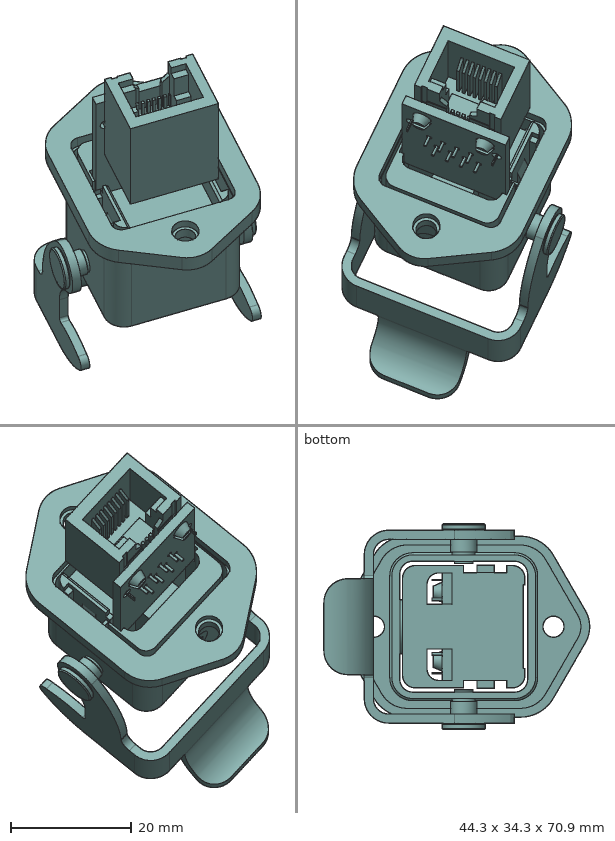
import cadquery as cq
import math


flange_half_width = 15.1
flange_tip = 21.8
flange_side_angle = 60
flange_tip_radius = 5.3
flange_corner_radius = 6.4
flange_thickness = 3.05
pad_inset = 1.5
pad_height = 0.4
shell_half = 12.0
shell_corner = 3.55
shell_bottom = -23.4
shell_root_chamfer = 0.35
shell_root_height = 0.4
opening_width = 21.95
opening_corner = 1.8
opening_depth = 2.1
cavity_length = 21.25
cavity_width = 21.75
cavity_corner = 2.1
mount_x = 14.95
mount_diameter = 3.5
mount_counterbore = 4.5
mount_counterbore_depth = 1.5

pivot_z = -18.1
head_diameter = 7.2
head_height = 1.05
head_chamfer = 0.2
pin_diameter = 4.4
pin_neck_diameter = 3.8
pin_neck_length = 0.5
pin_tip_diameter = 3.1
pin_tip_y = 10.5
sheet = 1.55
lever_half = 16.1
lever_back = -16.6
lever_corner = 4.1
lever_base_top = -30.7
lever_base_bottom = -39.0
eye_radius = 4.5
arm_left = -9.5
arm_left_radius = 19.1
arm_right = -1.55
arm_right_radius = 6.15
arm_root_radius = 1.85
hook_root_radius = 0.6
hook_root_z = -32.85
hook_crest = (2.55, -32.5)
hook_shoulder = (6.95, -33.1)
hook_nose = (8.4, -34.55)
hook_chin = (7.85, -35.6)
hook_belly = (5.3, -37.3)
tab_end = -23.3
tab_bottom = -47.45
tab_half = 8.0
tab_corner = 4.05
tab_root_fillet = 0.5

insert_half = 10.2
insert_corner = 2.1
insert_top = -0.7
insert_bottom = -23.6
bay_floor = -4.95
bay_start = -1.5
bay_half = 8.0
rail_top_y = 8.4
rail_chamfer = 0.4
side_recess_y = 9.0
side_recess_start = 0.0
side_recess_end = 7.15
post_start = -0.9
post_top = -2.4
post_outer_top = -3.55
corner_step_end = 8.2
corner_step_top = -2.1
snap_start = 2.2
snap_end = 5.1
snap_reach = 1.3
snap_top = -4.95
snap_height = 4.25
end_window_start = 9.9
end_window_half = 6.95
pocket_start = -6.1
pocket_half = 8.9
pocket_corner = 1.9
bridge_half = 3.75
slot_clearance = 0.35
boss_diameter = 9.05
screw_z = -12.7
screw_diameter = 6.0
cross_width = 1.05
cross_length = 3.7
cross_floor_length = 1.1
cross_depth = 1.4

board_back = -3.6
board_front = -2.0
board_half = 9.4
board_top = 17.8
peg_y = 5.75
peg_z = 15.1
peg_diameter = 3.5
peg_tip_diameter = 2.3
peg_height = 1.5
peg_slot = 1.0
tab_hole_y = 7.8
tab_hole_z = 12.05
tab_hole_diameter = 1.7
solder_tab_thickness = 0.2
solder_tab_height = 0.9
solder_end = -5.3
solder_pitch = 2.55
solder_first_y = 4.5
solder_row_count = 4
solder_upper_z = 8.8
solder_lower_z = 6.2
solder_pin_diameter = 0.5
solder_hole_diameter = 0.9

jack_end = 9.9
jack_half = 7.85
jack_top = 23.4
jack_bottom = 4.6
plug_start = -0.35
plug_end = 7.7
plug_half = 6.0
plug_depth = 14.15
shoulder_start = 0.9
shoulder_end = 2.05
upper_shoulder_depth = 1.4
lower_shoulder_depth = 5.7
latch_half = 3.4
latch_end = 3.3
latch_depth = 9.9
latch_taper_start = 2.7
latch_taper_end = 3.8
latch_narrow_half = 2.05
panel_half = 5.7
panel_depth = 4.6
panel_recess = 0.15
face_step_half = 6.65
face_step_depth = 6.0
face_step_recess = 0.35
contact_count = 8
contact_pitch = 1.0
contact_width = 0.5
contact_reach = 1.8
contact_top_depth = 4.6
contact_tail_start = -1.05
contact_tail_end = -0.6
contact_tail_depth = 7.1


def box(x_range, y_range, z_range):
    """Box between the given limits along X, Y and Z."""
    return cq.Workplane("XY").box(
        x_range[1] - x_range[0], y_range[1] - y_range[0], z_range[1] - z_range[0], centered=False
    ).translate((x_range[0], y_range[0], z_range[0]))


def rounded_block(length, width, corner, top, bottom):
    """Upright block on the Z axis with rounded vertical edges."""
    block = box((-length / 2, length / 2), (-width / 2, width / 2), (bottom, top))
    return block.edges("|Z").fillet(corner)


def cylinder_x(diameter, start, end, y, z):
    """Cylinder along X."""
    return cq.Workplane("YZ", origin=(start, 0, 0)).center(y, z).circle(diameter / 2).extrude(end - start)


def hexagon_plate(inset, top, bottom):
    """Flange outline moved in by the inset, from top down to bottom."""
    slope = math.radians(flange_side_angle)
    half_width = flange_half_width - inset
    tip = flange_tip - inset / math.sin(slope)
    shoulder = tip - half_width / math.tan(slope)
    outline = [
        (tip, 0), (shoulder, half_width), (-shoulder, half_width),
        (-tip, 0), (-shoulder, -half_width), (shoulder, -half_width),
    ]
    plate = cq.Workplane("XY", origin=(0, 0, bottom)).polyline(outline).close().extrude(top - bottom)
    tips = plate.edges("|Z").edges("<X or >X").fillet(flange_tip_radius - inset)
    return tips.edges("|Z").edges(">Y or <Y").fillet(flange_corner_radius - inset)


def make_shell():
    """Flanged housing with its stepped through opening and mounting holes."""
    pad_bottom = -flange_thickness - pad_height
    shell = hexagon_plate(0, 0, -flange_thickness)
    shell = shell.union(hexagon_plate(pad_inset, -flange_thickness, pad_bottom))
    walls = rounded_block(2 * shell_half, 2 * shell_half, shell_corner, pad_bottom, shell_bottom)
    skirt = rounded_block(
        2 * (shell_half + shell_root_chamfer), 2 * (shell_half + shell_root_chamfer),
        shell_corner + shell_root_chamfer, pad_bottom, pad_bottom - shell_root_height,
    )
    skirt = skirt.faces("<Z").edges().chamfer(shell_root_chamfer)
    shell = shell.union(walls).union(skirt)
    shell = shell.cut(rounded_block(opening_width, opening_width, opening_corner, 0, -opening_depth))
    shell = shell.cut(rounded_block(cavity_length, cavity_width, cavity_corner, -opening_depth, shell_bottom))
    shell = shell.cut(cylinder_x(screw_diameter, -shell_half, -cavity_length / 2, 0, screw_z))
    return (
        shell.faces(">Z").workplane(origin=(0, 0, 0)).pushPoints([(-mount_x, 0), (mount_x, 0)])
        .cboreHole(mount_diameter, mount_counterbore, mount_counterbore_depth)
    )


def make_pivot_pin():
    """Headed pin on the +Y side, from its tip inside the cavity out to its head."""
    neck_end = shell_half + pin_neck_length

    def step(diameter, start, end):
        return cq.Workplane("XZ", origin=(0, start, pivot_z)).circle(diameter / 2).extrude(start - end)

    head = step(head_diameter, lever_half, lever_half + head_height)
    head = head.faces("<Y or >Y").edges().chamfer(head_chamfer)
    pin = step(pin_tip_diameter, pin_tip_y, shell_half)
    pin = pin.union(step(pin_neck_diameter, shell_half, neck_end))
    return pin.union(step(pin_diameter, neck_end, lever_half)).union(head)


def lever_side_profile():
    """Outline of the lever cheek: base strip, pivot arm and hook, as arcs tangent to the pivot eye."""
    left_x = arm_left + arm_left_radius
    left_z = pivot_z - math.sqrt((arm_left_radius - eye_radius) ** 2 - left_x ** 2)
    right_x = arm_right + arm_right_radius
    right_z = pivot_z - math.sqrt((arm_right_radius + eye_radius) ** 2 - right_x ** 2)

    def on_circle(x, z, radius, angle):
        return (x + radius * math.cos(angle), z + radius * math.sin(angle))

    left_angle = math.atan2(pivot_z - left_z, -left_x)
    right_angle = math.atan2(pivot_z - right_z, -right_x)
    left_tangent = on_circle(0, pivot_z, eye_radius, left_angle)
    right_tangent = on_circle(0, pivot_z, eye_radius, right_angle - math.pi)
    return (
        cq.Workplane("XZ", origin=(0, lever_half, 0))
        .moveTo(lever_back, lever_base_bottom)
        .lineTo(lever_back, lever_base_top)
        .lineTo(arm_left - arm_root_radius, lever_base_top)
        .radiusArc((arm_left, lever_base_top + arm_root_radius), -arm_root_radius)
        .lineTo(arm_left, left_z)
        .threePointArc(on_circle(left_x, left_z, arm_left_radius, (math.pi + left_angle) / 2), left_tangent)
        .threePointArc((eye_radius, pivot_z), right_tangent)
        .threePointArc(
            on_circle(right_x, right_z, arm_right_radius, (math.pi + right_angle) / 2), (arm_right, right_z)
        )
        .lineTo(arm_right, hook_root_z + hook_root_radius)
        .radiusArc((arm_right + hook_root_radius, hook_root_z), -hook_root_radius)
        .threePointArc(hook_crest, hook_shoulder)
        .threePointArc(hook_nose, hook_chin)
        .threePointArc(hook_belly, (arm_right, lever_base_bottom))
        .close()
    )


def make_lever():
    """Bent sheet lever: U-shaped strip with two cheeks and a curved finger tab."""
    cheeks = lever_side_profile().extrude(2 * lever_half)
    reach = 2 * lever_half
    band = box((lever_back, reach), (-lever_half, lever_half), (lever_base_bottom, 0))
    band = band.edges("|Z and <X").fillet(lever_corner)
    inner_half = lever_half - sheet
    inside = box((lever_back + sheet, reach), (-inner_half, inner_half), (lever_base_bottom, 0))
    inside = inside.edges("|Z and <X").fillet(lever_corner - sheet)
    strip = cheeks.intersect(band.cut(inside))

    bend_outer = lever_back + sheet - tab_end
    bend_inner = bend_outer - sheet
    bend_z = tab_bottom + bend_outer

    def bend_middle(radius):
        return (tab_end + radius * math.sqrt(0.5), bend_z - radius * math.sqrt(0.5))

    curl = (
        cq.Workplane("XZ", origin=(0, tab_half, 0))
        .moveTo(lever_back, lever_base_bottom)
        .lineTo(lever_back + sheet, lever_base_bottom)
        .lineTo(lever_back + sheet, bend_z)
        .threePointArc(bend_middle(bend_outer), (tab_end, tab_bottom))
        .lineTo(tab_end, tab_bottom + sheet)
        .threePointArc(bend_middle(bend_inner), (lever_back, bend_z))
        .close()
        .extrude(2 * tab_half)
    )
    plan = box((tab_end, lever_back + sheet), (-tab_half, tab_half), (tab_bottom, lever_base_bottom))
    lever = strip.union(curl.intersect(plan.edges("|Z and <X").fillet(tab_corner)))
    root_end = lever_back + sheet
    root_bottom = lever_base_bottom - tab_root_fillet
    for side in (1, -1):
        web_y = sorted((side * tab_half, side * (tab_half + tab_root_fillet)))
        web = box((lever_back, root_end), web_y, (root_bottom, lever_base_bottom))
        hollow = cylinder_x(
            2 * tab_root_fillet, lever_back, root_end, side * (tab_half + tab_root_fillet), root_bottom
        )
        lever = lever.union(web.cut(hollow))
    return lever


def make_insert_block():
    """Contact insert standing in the housing, with board pocket, jack bay and snap ramps."""
    block = rounded_block(2 * insert_half, 2 * insert_half, insert_corner, insert_top, insert_bottom)
    height = (insert_bottom, insert_top)

    bay = (
        cq.Workplane("YZ", origin=(bay_start, 0, 0))
        .polyline([
            (-bay_half, bay_floor), (bay_half, bay_floor), (bay_half, insert_top - rail_chamfer),
            (rail_top_y, insert_top), (-rail_top_y, insert_top), (-bay_half, insert_top - rail_chamfer),
        ])
        .close()
        .extrude(insert_half - bay_start)
    )
    block = block.cut(bay)
    block = block.cut(box((end_window_start, insert_half), (-end_window_half, end_window_half), height))

    pocket = box((pocket_start, board_front), (-pocket_half, pocket_half), height)
    pocket = pocket.edges("|Z and <X").fillet(pocket_corner)
    bridge = box((pocket_start, board_front), (-bridge_half, bridge_half), (insert_bottom, bay_floor))
    block = block.cut(pocket.cut(bridge))

    slot_half = board_half + slot_clearance
    slot_x = (board_back - slot_clearance, bay_start)
    block = block.cut(box(slot_x, (-slot_half, slot_half), (bay_floor, insert_top)))

    for side in (1, -1):
        recess_y = sorted((side * side_recess_y, side * insert_half))
        block = block.cut(box((side_recess_start, side_recess_end), recess_y, height))
        block = block.cut(box((side_recess_end, corner_step_end), recess_y, (corner_step_top, insert_top)))
        post_y = sorted((side * bay_half, side * side_recess_y))
        gap_y = sorted((side * bay_half, side * insert_half))
        block = block.cut(box((post_start, side_recess_start), post_y, (post_top, insert_top)))
        block = block.cut(box((post_start, side_recess_start), recess_y, (post_outer_top, insert_top)))
        slope = (
            cq.Workplane("XZ", origin=(0, gap_y[1], 0))
            .polyline([
                (bay_start, bay_floor), (post_start, post_top),
                (post_start, insert_top), (bay_start, insert_top),
            ])
            .close()
            .extrude(gap_y[1] - gap_y[0])
        )
        block = block.cut(slope)
        ramp = (
            cq.Workplane("YZ", origin=(snap_start, 0, 0))
            .polyline([
                (side * rail_top_y, snap_top),
                (side * side_recess_y, snap_top),
                (side * (side_recess_y + snap_reach), snap_top - snap_height),
                (side * rail_top_y, snap_top - snap_height),
            ])
            .close()
            .extrude(snap_end - snap_start)
        )
        block = block.union(ramp)
    return block


def make_screw():
    """Fixing screw through the housing wall, with a tapered cross recess, on its boss."""
    boss = cylinder_x(boss_diameter, -cavity_length / 2, -insert_half, 0, screw_z)
    screw = cylinder_x(screw_diameter, -shell_half, -insert_half, 0, screw_z).union(boss)
    arm = (
        cq.Workplane("XY")
        .polyline([
            (-shell_half, -cross_length / 2), (-shell_half + cross_depth, -cross_floor_length / 2),
            (-shell_half + cross_depth, cross_floor_length / 2), (-shell_half, cross_length / 2),
        ])
        .close()
        .extrude(cross_width / 2, both=True)
    )
    for turn in (0, 90):
        screw = screw.cut(arm.rotate((0, 0, 0), (1, 0, 0), turn).translate((0, 0, screw_z)))
    return screw


def make_board():
    """Upright circuit board with two split pegs and holes for the solder tabs and pins."""
    board = box((board_back, board_front), (-board_half, board_half), (bay_floor, board_top))
    for side in (1, -1):
        peg = (
            cq.Workplane("YZ", origin=(board_back, side * peg_y, peg_z))
            .circle(peg_diameter / 2)
            .workplane(offset=-peg_height)
            .circle(peg_tip_diameter / 2)
            .loft()
        )
        split = box(
            (board_back - peg_height, board_back),
            (side * peg_y - peg_diameter / 2, side * peg_y + peg_diameter / 2),
            (peg_z - peg_slot / 2, peg_z + peg_slot / 2),
        )
        board = board.union(peg.cut(split))
        tab_hole = cylinder_x(tab_hole_diameter, board_back, board_front, side * tab_hole_y, tab_hole_z)
        board = board.cut(tab_hole)
    for y, z in solder_places():
        board = board.cut(cylinder_x(solder_hole_diameter, board_back, board_front, y, z))
    return board


def solder_places():
    """Y and Z of the eight solder pins: two rows, the lower one mirrored."""
    upper = [solder_first_y - solder_pitch * i for i in range(solder_row_count)]
    return [(y, solder_upper_z) for y in upper] + [(-y, solder_lower_z) for y in upper]


def make_jack():
    """Modular jack open at the top, with its latch channel, contacts and solder pins."""
    jack = box((board_front, jack_end), (-jack_half, jack_half), (jack_bottom, jack_top))

    def well(x_range, half, depth):
        return box(x_range, (-half, half), (jack_top - depth, jack_top))

    jack = jack.cut(well((plug_start, shoulder_start), plug_half, upper_shoulder_depth))
    jack = jack.cut(well((shoulder_start, shoulder_end), plug_half, lower_shoulder_depth))
    jack = jack.cut(well((shoulder_end, plug_end), plug_half, plug_depth))
    channel_bottom = jack_top - latch_depth
    latch_floor = box((shoulder_end, latch_end), (-latch_half, latch_half), (jack_bottom, channel_bottom))
    jack = jack.union(latch_floor)
    jack = jack.cut(well((plug_start, latch_end), latch_half, latch_depth))
    for side in (1, -1):
        step_y = sorted((side * panel_half, side * face_step_half))
        step_z = (jack_top - face_step_depth, jack_top)
        jack = jack.cut(box((board_front, board_front + face_step_recess), step_y, step_z))
    jack = jack.cut(well((board_front, board_front + panel_recess), panel_half, panel_depth))

    taper_top = jack_top - latch_taper_start
    taper_bottom = jack_top - latch_taper_end
    channel = (
        cq.Workplane("YZ", origin=(board_front, 0, 0))
        .polyline([
            (-latch_half, jack_top), (-latch_half, taper_top),
            (-latch_narrow_half, taper_bottom), (-latch_narrow_half, channel_bottom),
            (latch_narrow_half, channel_bottom), (latch_narrow_half, taper_bottom),
            (latch_half, taper_top), (latch_half, jack_top),
        ])
        .close()
        .extrude(plug_start - board_front)
    )
    jack = jack.cut(channel)
    jack = jack.cut(well((contact_tail_start, plug_start), latch_half, latch_depth))

    contact_top = jack_top - contact_top_depth
    tail_top = jack_top - contact_tail_depth
    for i in range(contact_count):
        y = (i - (contact_count - 1) / 2) * contact_pitch
        spring = (
            cq.Workplane("XZ", origin=(0, y, 0))
            .polyline([
                (plug_end, contact_top), (plug_end - contact_reach, contact_top - contact_reach),
                (plug_end - contact_reach, jack_top - plug_depth), (plug_end, jack_top - plug_depth),
            ])
            .close()
            .extrude(contact_width / 2, both=True)
        )
        tail_y = (max(y - contact_width / 2, -latch_half), min(y + contact_width / 2, latch_half))
        tail = box((contact_tail_start, contact_tail_end), tail_y, (channel_bottom, tail_top))
        jack = jack.union(spring).union(tail)

    for y, z in solder_places():
        jack = jack.union(cylinder_x(solder_pin_diameter, solder_end, board_front, y, z))
    for side in (1, -1):
        tab_y = sorted((side * jack_half, side * (jack_half - solder_tab_thickness)))
        tab_z = (tab_hole_z - solder_tab_height / 2, tab_hole_z + solder_tab_height / 2)
        jack = jack.union(box((solder_end, board_front), tab_y, tab_z))
    return jack


housing = make_shell().union(make_lever())
pivot_pin = make_pivot_pin()
for pin in (pivot_pin, pivot_pin.mirror("XZ")):
    housing = housing.union(pin)

insert = make_insert_block().union(make_screw()).union(make_board()).union(make_jack())

result = cq.Compound.makeCompound([housing.solids().val(), insert.solids().val()])